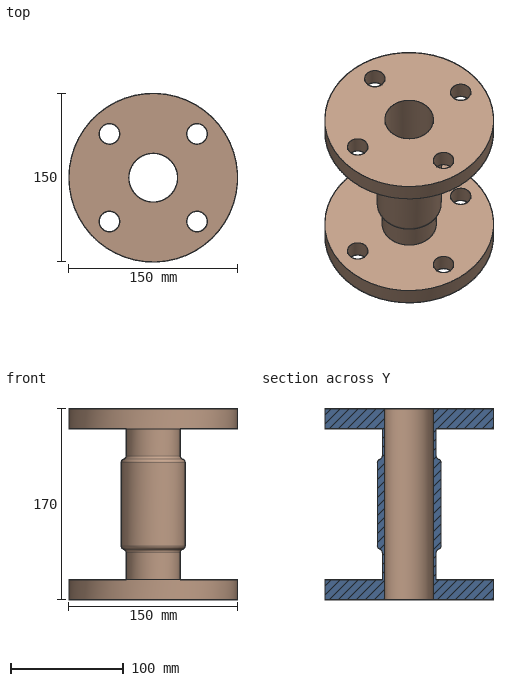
import cadquery as cq

total_height = 170.0
flange_diameter = 150.0
flange_thickness = 18.0

bore_diameter = 43.1
neck_diameter = 48.3
sleeve_diameter = 57.0
shoulder_start = 42.0
shoulder_length = 6.0

bolt_circle_diameter = 110.0
bolt_hole_diameter = 18.0
bolt_hole_count = 4
first_bolt_angle = 45.0

half_height = total_height / 2
flange_radius = flange_diameter / 2
bore_radius = bore_diameter / 2
neck_radius = neck_diameter / 2
sleeve_radius = sleeve_diameter / 2
flange_inner_z = half_height - flange_thickness
neck_end_z = half_height - shoulder_start
sleeve_end_z = neck_end_z - shoulder_length

shoulder_mid_radius = (neck_radius + sleeve_radius) / 2
shoulder_mid_z = (neck_end_z + sleeve_end_z) / 2


def make_spool():
    """Flanges, necks, shoulders and sleeve around an open bore, revolved about Z."""
    profile = (
        cq.Workplane("XZ")
        .moveTo(-bore_radius, half_height)
        .lineTo(-flange_radius, half_height)
        .lineTo(-flange_radius, flange_inner_z)
        .lineTo(-neck_radius, flange_inner_z)
        .lineTo(-neck_radius, neck_end_z)
        .tangentArcPoint((-shoulder_mid_radius, shoulder_mid_z), relative=False)
        .tangentArcPoint((-sleeve_radius, sleeve_end_z), relative=False)
        .lineTo(-sleeve_radius, -sleeve_end_z)
        .tangentArcPoint((-shoulder_mid_radius, -shoulder_mid_z), relative=False)
        .tangentArcPoint((-neck_radius, -neck_end_z), relative=False)
        .lineTo(-neck_radius, -flange_inner_z)
        .lineTo(-flange_radius, -flange_inner_z)
        .lineTo(-flange_radius, -half_height)
        .lineTo(-bore_radius, -half_height)
        .close()
    )
    return profile.revolve(360, (0, 0, 0), (0, 1, 0))


def make_bolt_holes():
    """Cylinders that pass through both flanges on the bolt circle."""
    return (
        cq.Workplane("XY", origin=(0, 0, -half_height))
        .polarArray(bolt_circle_diameter / 2, first_bolt_angle, 360, bolt_hole_count)
        .circle(bolt_hole_diameter / 2)
        .extrude(total_height)
    )


result = make_spool().cut(make_bolt_holes())